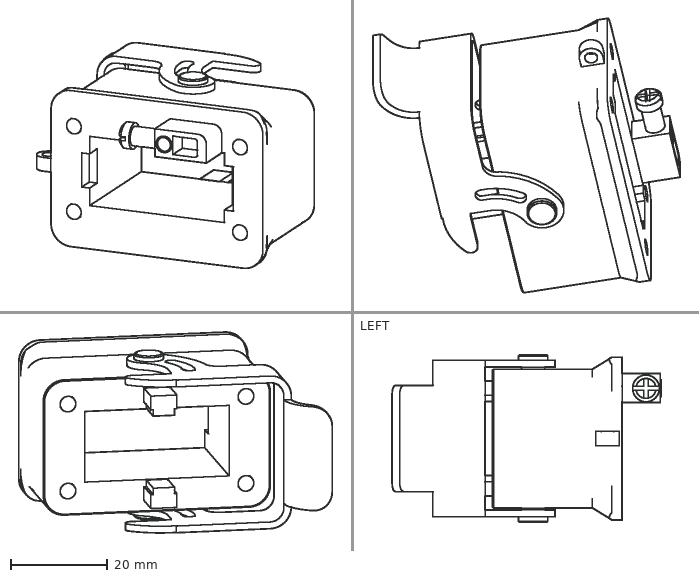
import math

import cadquery as cq


body_length = 48.0
body_width = 28.8
body_depth = 26.9
body_corner_radius = 4.5
rear_edge_chamfer = 0.25
flange_width = 33.8
flange_thickness = 2.1
taper_end_y = 6.15
taper_front_corner_x = 2.9

opening_length = 30.5
opening_width = 15.0
notch_depth = 4.0
left_notch_end_x = -17.05
left_notch_width = 7.4
right_notch_end_x = 17.25
right_notch_width = 9.6
mount_hole_diameter = 3.3
mount_hole_spacing_x = 37.6
mount_hole_spacing_z = 18.5

lug_reach = 1.9
lug_centre_y = 3.0
lug_radius = 2.45
lug_hole_diameter = 2.6
lug_thickness = 3.0

post_half_length = 2.75
post_end_y = 34.5
post_inner_z = 9.0
post_outer_z = 11.95
lip_inner_z = 7.65
lip_half_length = 2.25

lever_left_x = -26.0
lever_width = 32.5
arm_thickness = 1.45
back_thickness = 1.6
lever_bend_radius = 4.5
lever_front_y = 28.4
lever_rear_y = 39.3

pivot = (0.1, 18.45)
pivot_eye_radius = 4.55
eye_outer_angle = 240
eye_inner_angle = 56
eye_middle_angle = -30

neck_centre = (5.9, 29.2)
neck_inner_radius = 7.8
neck_outer_radius = 16.7
neck_corner_radius = 0.4
neck_outer_middle_angle = 217
neck_inner_middle_angle = 210
slot_path_radius = 12.1
slot_width = 2.65
slot_start_angle = 176.5
slot_end_angle = 215.0

hook_edge_y = 33.3
hook_tip_x = 6.65
hook_tip_radius = 1.5
hook_curve_centre = (-1.0, 25.7)
hook_curve_end_angle = 93.0
front_relief_radius = 3.1
front_relief_start_x = -13.4

handle_width = 22.1
handle_bend_radius = 8.6
handle_bend_y = 39.15
handle_corner_radius = 4.0

rivet_head_diameter = 6.15
rivet_shank_diameter = 4.9
rivet_head_height = 1.15
rivet_head_chamfer = 0.3
rivet_embedment = 1.0

terminal_left_x = 3.0
terminal_right_x = 14.65
terminal_bottom_z = 7.45
terminal_top_z = 13.5
terminal_depth = 7.95
terminal_corner_radius = 1.9
wire_pocket_left_x = 7.05
wire_pocket_right_x = 12.65
wire_pocket_bottom_z = 8.4
wire_pocket_top_z = 12.4
wire_pocket_corner_radius = 0.7
wire_pocket_depth = 5.0
mark_x = 5.1
mark_diameter = 3.5
mark_ring_width = 0.25
mark_height = 0.15

screw_y = -4.95
screw_z = 10.4
screw_shank_diameter = 4.1
screw_head_diameter = 5.55
screw_head_left_x = -5.5
screw_head_right_x = -3.0
screw_head_chamfer = 0.7
screw_slot_width = 0.85
screw_slot_depth = 1.65
screw_cross_length = 4.0


def box_between(x0, x1, y0, y1, z0, z1):
    """Box given by its limits along each axis."""
    return cq.Workplane("XY").box(x1 - x0, y1 - y0, z1 - z0, centered=False).translate((x0, y0, z0))


def cylinder_y(x, z, diameter, y0, y1):
    """Cylinder parallel to Y."""
    solid = cq.Solid.makeCylinder(diameter / 2, y1 - y0, cq.Vector(x, y0, z), cq.Vector(0, 1, 0))
    return cq.Workplane(obj=solid)


def cylinder_x(y, z, diameter, x0, x1):
    """Cylinder parallel to X."""
    solid = cq.Solid.makeCylinder(diameter / 2, x1 - x0, cq.Vector(x0, y, z), cq.Vector(1, 0, 0))
    return cq.Workplane(obj=solid)


def rounded_block(width, y0, y1):
    """Block of the body length with rounded edges parallel to Y."""
    block = box_between(-body_length / 2, body_length / 2, y0, y1, -width / 2, width / 2)
    return block.edges("|Y").fillet(body_corner_radius)


def taper_section(plane, width, corner_x, corner_z):
    """Rectangle of the body length with quarter-ellipse corners."""
    half_length = body_length / 2
    half_width = width / 2
    straight_x = half_length - corner_x
    straight_z = half_width - corner_z
    side_ends = (
        (half_length, straight_z),
        (-straight_x, half_width),
        (-half_length, -straight_z),
        (straight_x, -half_width),
    )
    outline = plane.moveTo(half_length, -straight_z)
    for quarter, side_end in enumerate(side_ends):
        outline = outline.lineTo(*side_end).ellipseArc(corner_x, corner_z, quarter * 90, (quarter + 1) * 90)
    return outline.close()


def housing_taper():
    """Transition from the body to the flange; the flat end walls keep their width."""
    rear_plane = cq.Workplane("XZ", origin=(0, taper_end_y, 0))
    rear_section = taper_section(rear_plane, body_width, body_corner_radius, body_corner_radius)
    front_plane = rear_section.workplane(offset=taper_end_y - flange_thickness)
    front_corner_z = body_corner_radius + (flange_width - body_width) / 2
    taper = taper_section(front_plane, flange_width, taper_front_corner_x, front_corner_z).loft()
    return taper.intersect(rounded_block(flange_width, 0, taper_end_y))


def housing():
    body = rounded_block(body_width, 0, body_depth).faces(">Y").edges().chamfer(rear_edge_chamfer)
    body = body.union(rounded_block(flange_width, 0, flange_thickness)).union(housing_taper())
    half_length = opening_length / 2
    half_width = opening_width / 2
    body = body.cut(box_between(-half_length, half_length, 0, body_depth, -half_width, half_width))
    for end_x, width in ((left_notch_end_x, left_notch_width), (right_notch_end_x, right_notch_width)):
        body = body.cut(box_between(min(end_x, 0), max(end_x, 0), 0, notch_depth, -width / 2, width / 2))
    for side_x in (-1, 1):
        for side_z in (-1, 1):
            hole_x = side_x * mount_hole_spacing_x / 2
            hole_z = side_z * mount_hole_spacing_z / 2
            body = body.cut(cylinder_y(hole_x, hole_z, mount_hole_diameter, 0, body_depth))
    return body


def lug():
    wall_x = -body_length / 2
    centre_x = wall_x - lug_reach
    plane = cq.Workplane("XY", origin=(centre_x, lug_centre_y, -lug_thickness / 2))
    eye = plane.circle(lug_radius).extrude(lug_thickness)
    bridge = box_between(
        centre_x,
        wall_x,
        lug_centre_y - lug_radius,
        lug_centre_y + lug_radius,
        -lug_thickness / 2,
        lug_thickness / 2,
    )
    hole = plane.circle(lug_hole_diameter / 2).extrude(lug_thickness)
    return eye.union(bridge).cut(hole)


def rear_post():
    """Post on the +Z half of the rear face."""
    column = box_between(
        -post_half_length, post_half_length, body_depth, post_end_y, post_inner_z, post_outer_z
    )
    lip = box_between(-lip_half_length, lip_half_length, body_depth, post_end_y, lip_inner_z, post_inner_z)
    return column.union(lip)


def polar(centre, radius, angle):
    """Point at an angle, in degrees from +X, on a circle in the XY plane."""
    turn = math.radians(angle)
    return (centre[0] + radius * math.cos(turn), centre[1] + radius * math.sin(turn))


def arm_outline(plane):
    """Flat outline of one arm, reaching the outer face of the lever back."""
    relief_centre = (front_relief_start_x, lever_front_y - front_relief_radius)
    tip_centre = (hook_tip_x, hook_edge_y + hook_tip_radius)
    tip_offset_x = tip_centre[0] - hook_curve_centre[0]
    tip_offset_y = tip_centre[1] - hook_curve_centre[1]
    hook_curve_radius = math.hypot(tip_offset_x, tip_offset_y) + hook_tip_radius
    tip_angle = math.degrees(math.atan2(tip_offset_y, tip_offset_x))
    neck_x = neck_centre[0] - neck_inner_radius
    return (
        plane.moveTo(lever_left_x, lever_front_y)
        .lineTo(front_relief_start_x, lever_front_y)
        .threePointArc(
            polar(relief_centre, front_relief_radius, 45),
            polar(relief_centre, front_relief_radius, 0),
        )
        .threePointArc(
            polar(neck_centre, neck_outer_radius, neck_outer_middle_angle),
            polar(pivot, pivot_eye_radius, eye_outer_angle),
        )
        .threePointArc(
            polar(pivot, pivot_eye_radius, eye_middle_angle),
            polar(pivot, pivot_eye_radius, eye_inner_angle),
        )
        .threePointArc(
            polar(neck_centre, neck_inner_radius, neck_inner_middle_angle),
            (neck_x, neck_centre[1]),
        )
        .lineTo(neck_x, hook_edge_y - neck_corner_radius)
        .tangentArcPoint((neck_corner_radius, neck_corner_radius))
        .lineTo(hook_tip_x, hook_edge_y)
        .threePointArc(
            polar(tip_centre, hook_tip_radius, 0),
            polar(tip_centre, hook_tip_radius, tip_angle),
        )
        .threePointArc(
            polar(hook_curve_centre, hook_curve_radius, (tip_angle + hook_curve_end_angle) / 2),
            polar(hook_curve_centre, hook_curve_radius, hook_curve_end_angle),
        )
        .lineTo(polar(hook_curve_centre, hook_curve_radius, hook_curve_end_angle)[0], lever_rear_y)
        .lineTo(lever_left_x, lever_rear_y)
        .close()
    )


def arm_slot_outline(plane):
    """Curved slot with round ends, concentric with the neck of the arm."""
    inner = slot_path_radius - slot_width / 2
    outer = slot_path_radius + slot_width / 2
    start_centre = polar(neck_centre, slot_path_radius, slot_start_angle)
    end_centre = polar(neck_centre, slot_path_radius, slot_end_angle)
    middle_angle = (slot_start_angle + slot_end_angle) / 2
    return (
        plane.moveTo(*polar(neck_centre, inner, slot_start_angle))
        .threePointArc(
            polar(neck_centre, inner, middle_angle),
            polar(neck_centre, inner, slot_end_angle),
        )
        .threePointArc(
            polar(end_centre, slot_width / 2, slot_end_angle + 90),
            polar(neck_centre, outer, slot_end_angle),
        )
        .threePointArc(
            polar(neck_centre, outer, middle_angle),
            polar(neck_centre, outer, slot_start_angle),
        )
        .threePointArc(
            polar(start_centre, slot_width / 2, slot_start_angle - 90),
            polar(neck_centre, inner, slot_start_angle),
        )
        .close()
    )


def lever():
    half_width = lever_width / 2
    plane = cq.Workplane("XY", origin=(0, 0, -half_width))
    sheet = arm_outline(plane).extrude(lever_width).edges("|Y and <X").fillet(lever_bend_radius)
    inside = box_between(
        lever_left_x + back_thickness,
        -lever_left_x,
        0,
        lever_rear_y,
        -half_width + arm_thickness,
        half_width - arm_thickness,
    )
    inside = inside.edges("|Y and <X").fillet(lever_bend_radius - back_thickness)
    return sheet.cut(inside).cut(arm_slot_outline(plane).extrude(lever_width))


def handle():
    """Quarter-round curl at the rear of the lever back, its free corners rounded."""
    handle_end_x = lever_left_x + back_thickness - handle_bend_radius
    curl_centre = (handle_end_x, handle_bend_y)
    inner_radius = handle_bend_radius - back_thickness
    curl = (
        cq.Workplane("XY", origin=(0, 0, -handle_width / 2))
        .moveTo(lever_left_x, lever_front_y)
        .lineTo(lever_left_x, handle_bend_y)
        .threePointArc(polar(curl_centre, inner_radius, 45), polar(curl_centre, inner_radius, 90))
        .lineTo(handle_end_x, handle_bend_y + handle_bend_radius)
        .threePointArc(
            polar(curl_centre, handle_bend_radius, 45),
            polar(curl_centre, handle_bend_radius, 0),
        )
        .lineTo(lever_left_x + back_thickness, lever_front_y)
        .close()
        .extrude(handle_width)
    )
    envelope = box_between(
        handle_end_x,
        lever_left_x + back_thickness,
        lever_front_y,
        handle_bend_y + handle_bend_radius,
        -handle_width / 2,
        handle_width / 2,
    )
    return curl.intersect(envelope.edges("|Y and <X").fillet(handle_corner_radius))


def rivet():
    """Pivot rivet of the +Z arm."""
    arm_face_z = lever_width / 2
    shank_base_z = opening_width / 2 + rivet_embedment
    shank = (
        cq.Workplane("XY", origin=(*pivot, shank_base_z))
        .circle(rivet_shank_diameter / 2)
        .extrude(arm_face_z - shank_base_z)
    )
    head = (
        cq.Workplane("XY", origin=(*pivot, arm_face_z))
        .circle(rivet_head_diameter / 2)
        .extrude(rivet_head_height)
        .faces(">Z")
        .chamfer(rivet_head_chamfer)
    )
    return shank.union(head)


def terminal_block():
    block = box_between(
        terminal_left_x, terminal_right_x, -terminal_depth, 0, terminal_bottom_z, terminal_top_z
    )
    block = block.edges("|Y and >X and >Z").fillet(terminal_corner_radius)
    pocket = box_between(
        wire_pocket_left_x,
        wire_pocket_right_x,
        -terminal_depth,
        -terminal_depth + wire_pocket_depth,
        wire_pocket_bottom_z,
        wire_pocket_top_z,
    )
    pocket = pocket.edges("|Y and >X").fillet(wire_pocket_corner_radius)
    mark_front_y = -terminal_depth - mark_height
    ring = cylinder_y(mark_x, screw_z, mark_diameter, mark_front_y, -terminal_depth)
    ring_hole_diameter = mark_diameter - 2 * mark_ring_width
    ring = ring.cut(cylinder_y(mark_x, screw_z, ring_hole_diameter, mark_front_y, -terminal_depth))
    return block.cut(pocket).union(ring)


def terminal_screw():
    shank = cylinder_x(screw_y, screw_z, screw_shank_diameter, screw_head_right_x, terminal_left_x)
    head = cylinder_x(screw_y, screw_z, screw_head_diameter, screw_head_left_x, screw_head_right_x)
    head = head.faces("<X").chamfer(screw_head_chamfer)
    half_slot = screw_slot_width / 2
    slot_end_x = screw_head_left_x + screw_slot_depth
    for half_y, half_z in ((screw_head_diameter / 2, half_slot), (half_slot, screw_cross_length / 2)):
        head = head.cut(
            box_between(
                screw_head_left_x,
                slot_end_x,
                screw_y - half_y,
                screw_y + half_y,
                screw_z - half_z,
                screw_z + half_z,
            )
        )
    return shank.union(head)


result = housing().union(lug()).union(lever()).union(handle())
for upper_part in (rear_post(), rivet()):
    result = result.union(upper_part).union(upper_part.mirror("XY"))
result = result.union(terminal_block()).union(terminal_screw())